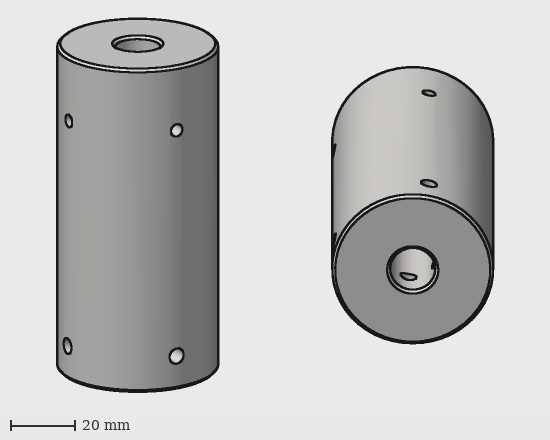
import cadquery as cq
import math

length = 106.0
body_diameter = 50.0
edge_chamfer = 1.0
bore_diameter = 14.0
bore_chamfer = 1.0

lower_hole_height = 11.0
lower_hole_diameter = 5.0
lower_hole_angles = [45, 135, 225, 315]
upper_hole_height = 85.0
upper_hole_diameter = 4.0
upper_hole_angles = [45, 135, 227, 315]


def chamfered_body():
    body = cq.Workplane("XY").circle(body_diameter / 2).extrude(length)
    return body.faces("<Z or >Z").edges().chamfer(edge_chamfer)


def chamfered_bore():
    """Through bore with a conical lead-in at each end."""
    radius = bore_diameter / 2
    mouth_radius = radius + bore_chamfer
    profile = [
        (0, 0),
        (mouth_radius, 0),
        (radius, bore_chamfer),
        (radius, length - bore_chamfer),
        (mouth_radius, length),
        (0, length),
    ]
    return cq.Workplane("XZ").polyline(profile).close().revolve(360, (0, 0, 0), (0, 1, 0))


def radial_hole(height, diameter, angle):
    """Cylinder from the axis out through the wall."""
    direction = cq.Vector(math.cos(math.radians(angle)), math.sin(math.radians(angle)), 0)
    start = cq.Vector(0, 0, height)
    return cq.Workplane(cq.Solid.makeCylinder(diameter / 2, body_diameter, start, direction))


result = chamfered_body().cut(chamfered_bore())
for angle in lower_hole_angles:
    result = result.cut(radial_hole(lower_hole_height, lower_hole_diameter, angle))
for angle in upper_hole_angles:
    result = result.cut(radial_hole(upper_hole_height, upper_hole_diameter, angle))